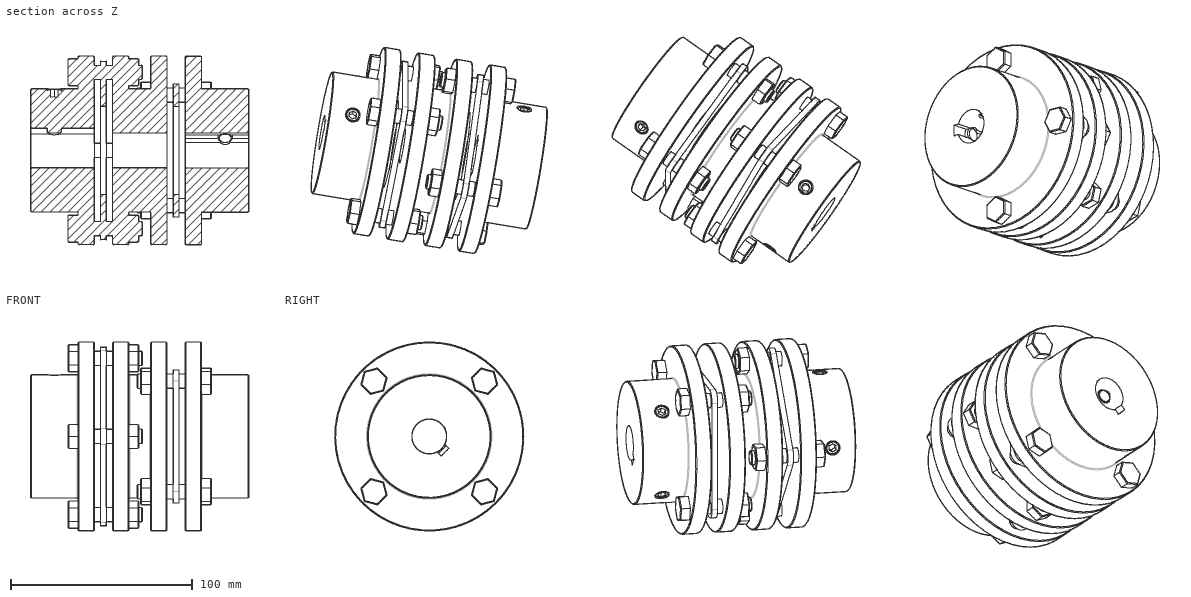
import cadquery as cq
import math

OVERLAP = 0.2

overall_length = 120.0
flange_diameter = 104.0
flange_thickness = 9.0
flange_chamfer = 0.5
hub_diameter = 68.0
hub_length = 26.0
hub_chamfer = 0.5
barrel_fillet = 0.5
bore_diameter = 19.0
spacer_length = 12.0

key_width = 6.0
key_top_radius = 12.2
screw_diameter = 8.0
screw_chamfer = 0.7
screw_outer_radius = 33.5
screw_socket_flats = 4.0
screw_socket_depth = 4.0

disc_thickness = 3.2
disc_corner_radius = 6.2

bolt_count = 4
bolt_circle_radius = 43.0
bolt_diameter = 8.0
bolt_chamfer = 0.5
hex_flats = 13.0
hex_height = 5.5
hex_chamfer = 0.5
bolt_tip_projection = 2.0

hub_end = overall_length / 2
outer_flange_outside = hub_end - hub_length
outer_flange_inside = outer_flange_outside - flange_thickness
inner_flange_outside = spacer_length / 2
inner_flange_inside = inner_flange_outside + flange_thickness
disc_middle = (outer_flange_inside + inner_flange_inside) / 2
set_screw_place = hub_end - hub_length / 2

bore_radius = bore_diameter / 2
right_side_turn = -360 / bolt_count / 2


def cylinder_x(diameter, x_start, x_end):
    """Solid cylinder on the X axis."""
    return cq.Workplane("YZ", origin=(x_start, 0, 0)).circle(diameter / 2).extrude(x_end - x_start)


def around_axis(shape, angle):
    return shape.rotate((0, 0, 0), (1, 0, 0), angle)


def flange(x_start):
    disc = cylinder_x(flange_diameter, x_start, x_start + flange_thickness)
    return disc.edges().chamfer(flange_chamfer)


def corner_fillet(flange_face, direction):
    """Concave ring filling the corner between a barrel and a flange face."""
    r = barrel_fillet
    surface = hub_diameter / 2
    mid = r * (1 - math.sqrt(0.5))
    root = surface - OVERLAP
    buried = flange_face - direction * OVERLAP
    return (
        cq.Workplane("XY")
        .moveTo(buried, root)
        .lineTo(flange_face + direction * r, root)
        .lineTo(flange_face + direction * r, surface)
        .threePointArc((flange_face + direction * mid, surface + mid), (flange_face, surface + r))
        .lineTo(buried, surface + r)
        .close()
        .revolve(360, (0, 0, 0), (1, 0, 0))
    )


def set_screw():
    """Socket set screw standing on +Z, its point level with the bore."""
    length = screw_outer_radius - bore_radius
    socket_corners = screw_socket_flats / math.cos(math.pi / 6)
    body = cq.Workplane("XY").circle(screw_diameter / 2).extrude(length).edges().chamfer(screw_chamfer)
    socket = (
        cq.Workplane("XY", origin=(0, 0, length - screw_socket_depth))
        .polygon(6, socket_corners)
        .extrude(screw_socket_depth)
        .rotate((0, 0, 0), (0, 0, 1), 30)
    )
    return body.cut(socket).translate((set_screw_place, 0, bore_radius))


def screw_hole():
    return (
        cq.Workplane("XY", origin=(set_screw_place, 0, 0))
        .circle(screw_diameter / 2)
        .extrude(hub_diameter)
    )


def keyway():
    length = hub_end - outer_flange_inside
    return (
        cq.Workplane("XY", origin=((hub_end + outer_flange_inside) / 2, key_top_radius / 2, 0))
        .box(length, key_top_radius, key_width)
    )


def hub():
    """+X hub: keyway along +Y, set screws on +Z and over the keyway."""
    barrel = cylinder_x(hub_diameter, outer_flange_outside - OVERLAP, hub_end)
    barrel = barrel.faces(">X").edges().chamfer(hub_chamfer)
    body = flange(outer_flange_inside).union(barrel).union(corner_fillet(outer_flange_outside, 1))
    body = body.cut(cylinder_x(bore_diameter, outer_flange_inside, hub_end)).cut(keyway())
    for angle in (0, -90):
        body = body.cut(around_axis(screw_hole(), angle))
        body = body.union(around_axis(set_screw(), angle))
    return body


def spacer():
    """Barrel carrying the two inner flanges."""
    body = cylinder_x(hub_diameter, -inner_flange_outside - OVERLAP, inner_flange_outside + OVERLAP)
    body = body.union(flange(inner_flange_outside)).union(flange(-inner_flange_inside))
    body = body.union(corner_fillet(inner_flange_outside, -1))
    body = body.union(corner_fillet(-inner_flange_outside, 1))
    return body.cut(cylinder_x(bore_diameter, -inner_flange_inside, inner_flange_inside))


def disc_pack():
    """Square plate, a rounded corner round each bolt, with a round opening."""
    half_side = bolt_circle_radius * math.cos(math.pi / bolt_count) + disc_corner_radius
    opening_radius = half_side - 2 * disc_corner_radius
    plate = (
        cq.Workplane("XY")
        .box(disc_thickness, 2 * half_side, 2 * half_side)
        .edges("|X")
        .fillet(disc_corner_radius)
    )
    plate = around_axis(plate, 180 / bolt_count).translate((disc_middle, 0, 0))
    return plate.cut(cylinder_x(2 * opening_radius, inner_flange_inside, outer_flange_inside))


def hexagon(x_start, outer_face):
    """Bolt head or nut on the X axis, one corner towards +Z."""
    corners = hex_flats / math.cos(math.pi / 6)
    block = cq.Workplane("YZ", origin=(x_start, 0, 0)).polygon(6, corners).extrude(hex_height)
    return around_axis(block, 90).faces(outer_face).edges().chamfer(hex_chamfer)


def bolt():
    """Bolt and nut at +Z clamping the +X disc pack, head outwards."""
    nut_start = inner_flange_outside - hex_height
    tip = nut_start - bolt_tip_projection
    shank = cylinder_x(bolt_diameter, tip, outer_flange_outside + OVERLAP)
    shank = shank.faces("<X").edges().chamfer(bolt_chamfer)
    assembled = shank.union(hexagon(outer_flange_outside, ">X")).union(hexagon(nut_start, "<X"))
    return assembled.translate((0, 0, bolt_circle_radius))


def coupling_half():
    """Hub, disc pack and bolts of the +X side, a bolt at +Z."""
    half = hub().union(disc_pack())
    for index in range(bolt_count):
        half = half.union(around_axis(bolt(), index * 360 / bolt_count))
    return half


half = coupling_half()
right_half = around_axis(half, right_side_turn)
left_half = half.mirror("YZ")
result = spacer().union(left_half).union(right_half)